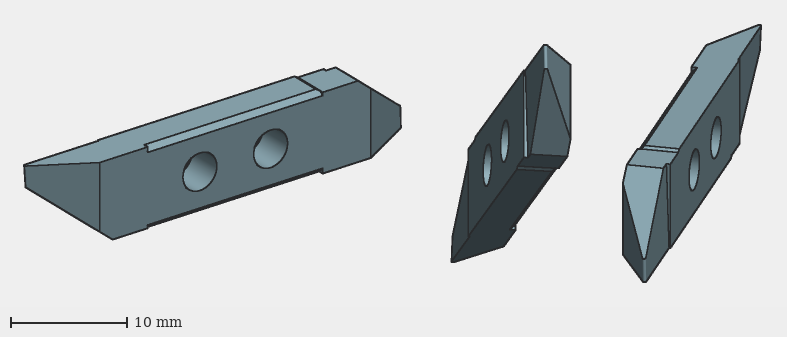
import cadquery as cq
import math

length = 40.0
width = 3.6
height = 8.0

shelf_drop = 0.2
ramp_inner_y = 8.9
ramp_outer_y = 9.3
slope_start_y = 13.05
tip_top = -2.0

lead_angle = 60.0
nose_radius = 0.15
relief_start_y = 12.0
edge_relief = 0.1
back_relief = 0.35

bevel_width = 0.5
bevel_depth = 0.5

hole_diameter = 3.6
hole_spacing = 7.5

half_length = length / 2
half_width = width / 2
half_height = height / 2


def half_turn(shape):
    """Return the shape turned half way round the X axis."""
    return shape.rotate((0, 0, 0), (1, 0, 0), 180)


def side_blank():
    """Bar with a sloping back and a lowered shelf at each end."""
    shelf_z = half_height - shelf_drop
    upper_edge = [
        (ramp_inner_y, half_height),
        (ramp_outer_y, shelf_z),
        (slope_start_y, shelf_z),
        (half_length, tip_top),
        (half_length, -half_height),
    ]
    lower_edge = [(-y, -z) for y, z in upper_edge]
    outline = cq.Workplane("YZ").polyline(upper_edge + lower_edge).close()
    return outline.extrude(half_width, both=True)


def end_envelope():
    """Bar with a pointed +Y end, a tilted -X relief face and a rounded nose."""
    lead = math.radians(lead_angle)
    side_x = edge_relief - half_width
    nose_reach = nose_radius / math.tan((math.pi / 2 - lead) / 2)
    point_y = half_length - nose_radius + nose_reach
    corner_y = point_y - (half_width - side_x) * math.tan(lead)
    bar = (
        cq.Workplane("XY", origin=(0, 0, -half_height))
        .polyline([
            (-half_width, -half_length),
            (-half_width, point_y),
            (side_x, point_y),
            (half_width, corner_y),
            (half_width, -half_length),
        ])
        .close()
        .extrude(height)
    )
    relieved = bar.cut(side_relief(point_y - relief_start_y))
    nose_edge = cq.selectors.NearestToPointSelector((side_x, point_y, 0))
    return relieved.edges(nose_edge).fillet(nose_radius)


def side_relief(relief_length):
    """Wedge that tilts the -X face of the +Y end away from its cutting edge."""
    return (
        cq.Workplane("XZ", origin=(0, relief_start_y, 0))
        .polyline([
            (-half_width, -half_height),
            (edge_relief - half_width, -half_height),
            (back_relief - half_width, half_height),
            (-half_width, half_height),
        ])
        .close()
        .extrude(-relief_length)
    )


def top_bevel():
    """Bevel along the upper +X edge, between the two ends."""
    return (
        cq.Workplane("XZ")
        .polyline([
            (half_width - bevel_width, half_height),
            (half_width, half_height),
            (half_width, half_height - bevel_depth),
        ])
        .close()
        .extrude(ramp_outer_y, both=True)
    )


def cross_holes():
    """Two through holes along X."""
    return (
        cq.Workplane("YZ", origin=(-half_width, 0, 0))
        .pushPoints([(-hole_spacing / 2, 0), (hole_spacing / 2, 0)])
        .circle(hole_diameter / 2)
        .extrude(width)
    )


envelope = end_envelope()
result = side_blank().intersect(envelope).intersect(half_turn(envelope))
bevel = top_bevel()
result = result.cut(bevel).cut(half_turn(bevel))
result = result.cut(cross_holes())